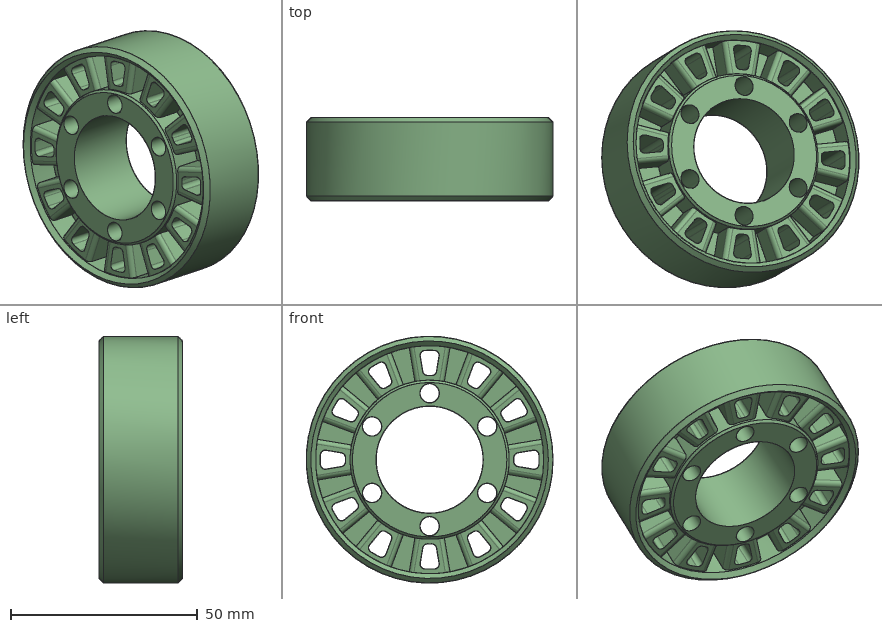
import math
import cadquery as cq

outer_radius = 66.04 / 2
width = 22.352
edge_chamfer = 1.27
bore_radius = 28.575 / 2

hub_radius = 42.55 / 2
rim_inner_radius = 60.96 / 2
hub_chamfer = 0.635
hub_setback = 0.508
spoke_setback = 1.778

bolt_count = 6
bolt_diameter = 5.08
bolt_circle_radius = 17.78

spoke_count = 12
spoke_half_angle = math.radians(9.5)
spoke_inner_half_width = 4.0
spoke_wall = 2.54
spoke_edge_fillet = 1.27
spoke_end_overlap = 1.0
slot_end_wall = 1.27
slot_corner_radius = 1.27

web_thickness = 2.54

hub_length = width - 2 * hub_setback
spoke_length = width - 2 * spoke_setback
slot_inner_radius = hub_radius + slot_end_wall
slot_outer_radius = rim_inner_radius - slot_end_wall


def cross_section(length):
    """Sketch plane normal to the axis, from which a body of this length is centred on the origin."""
    return cq.Workplane("XZ", origin=(0, length / 2, 0))


def disc(radius, thickness):
    """Cylinder about the Y axis, centred on the origin."""
    return cross_section(thickness).circle(radius).extrude(thickness)


def spoke_half_width(radius):
    """Half width of the unslotted spoke at a distance from the axis."""
    return spoke_inner_half_width + (radius - hub_radius) * math.tan(spoke_half_angle)


def flared_prism(inner_radius, outer_radius, inset, length):
    """Trapezoidal prism on the +Z side, its sides set in from the spoke sides."""
    side_shift = inset / math.cos(spoke_half_angle)
    inner_half = spoke_half_width(inner_radius) - side_shift
    outer_half = spoke_half_width(outer_radius) - side_shift
    return (
        cross_section(length)
        .polyline([
            (-inner_half, inner_radius),
            (inner_half, inner_radius),
            (outer_half, outer_radius),
            (-outer_half, outer_radius),
        ])
        .close()
        .extrude(length)
    )


def around_axis(body, count):
    """Copies of a body evenly spaced about the Y axis, as one workplane."""
    copies = cq.Workplane("XZ")
    for index in range(count):
        copies = copies.add(body.rotate((0, 0, 0), (0, 1, 0), index * 360 / count))
    return copies.combine()


def make_rim():
    """Outer ring whose inner and outer chamfers meet in a sharp crest."""
    rim = disc(outer_radius, width).faces("<Y or >Y").chamfer(edge_chamfer)
    opening = disc(rim_inner_radius, width)
    crest_radius = rim_inner_radius + edge_chamfer
    for side in (-1, 1):
        face_y = side * width / 2
        flare_end_y = side * (width / 2 - edge_chamfer)
        flare = (
            cq.Workplane("XY")
            .polyline([
                (0, face_y),
                (crest_radius, face_y),
                (rim_inner_radius, flare_end_y),
                (0, flare_end_y),
            ])
            .close()
            .revolve(360, (0, 0, 0), (0, 1, 0))
        )
        opening = opening.union(flare)
    return rim.cut(opening)


def make_hub():
    """Solid hub, chamfered on both faces; its bore and bolt holes are cut later."""
    return disc(hub_radius, hub_length).faces("<Y or >Y").chamfer(hub_chamfer)


def make_web():
    """Full disc at mid width; it shows only as the floor between the spokes."""
    return disc(rim_inner_radius + spoke_end_overlap, web_thickness)


def make_spoke():
    """Solid flared spoke with rounded long edges, ending inside the hub and the rim."""
    inner_end = hub_radius - spoke_end_overlap
    outer_end = outer_radius
    spoke = flared_prism(inner_end, outer_end, 0, spoke_length)
    side_edges = spoke.faces("<Y or >Y").edges("not |X")
    spoke = side_edges.fillet(spoke_edge_fillet)
    return spoke.intersect(disc(rim_inner_radius + spoke_end_overlap, width))


def make_slot():
    """Slot with straight flared sides and ends that follow circles about the axis."""
    slot = flared_prism(bore_radius, outer_radius, spoke_wall, width)
    slot = slot.intersect(disc(slot_outer_radius, width)).cut(disc(slot_inner_radius, width))
    return slot.edges("|Y").fillet(slot_corner_radius)


def make_bolt_hole():
    """Cylinder of the bolt hole on the +Z side."""
    return (
        cross_section(width)
        .center(0, bolt_circle_radius)
        .circle(bolt_diameter / 2)
        .extrude(width)
    )


wheel = make_rim().union(make_hub()).union(make_web())
wheel = wheel.union(around_axis(make_spoke(), spoke_count))
wheel = wheel.cut(around_axis(make_slot(), spoke_count))
wheel = wheel.cut(around_axis(make_bolt_hole(), bolt_count))
result = wheel.cut(disc(bore_radius, width))